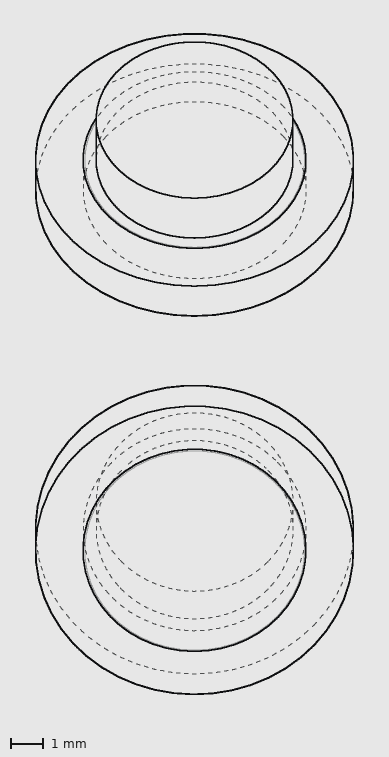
import cadquery as cq

ring_diameter = 9.7
bore_diameter = 6.8
flange_core_diameter = 6.7
boss_diameter = 6.0
total_height = 3.5
ring_height = 1.5

boss_height = total_height - ring_height


def make_ring():
    """Flat outer ring with a plain through bore."""
    return (
        cq.Workplane("XY")
        .circle(ring_diameter / 2)
        .circle(bore_diameter / 2)
        .extrude(ring_height)
    )


def make_plug():
    """Stepped plug: a flange filling the bore, flush with the ring, and a boss standing above it."""
    flange_core = cq.Workplane("XY").circle(flange_core_diameter / 2).extrude(ring_height)
    flange_rim = (
        cq.Workplane("XY")
        .circle(bore_diameter / 2)
        .circle(flange_core_diameter / 2)
        .extrude(ring_height)
    )
    boss = (
        cq.Workplane("XY")
        .workplane(offset=ring_height)
        .circle(boss_diameter / 2)
        .extrude(boss_height)
    )
    return boss.union(flange_core).union(flange_rim, clean=False)


ring = make_ring()
plug = make_plug()

result = cq.Compound.makeCompound([ring.val(), plug.solids().val()])